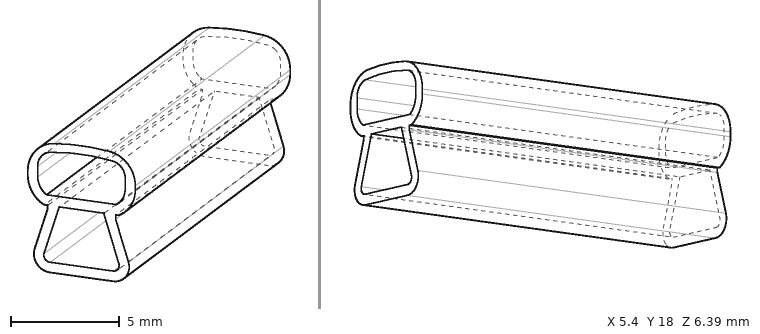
import cadquery as cq
import math

length = 18.0
width = 5.4
height = 6.39
wall = 0.5

head_radius = 1.5
side_bottom_z = 4.59
side_top_z = 4.82
head_base_z = 3.25
crown_wall = 0.41
cavity_top_radius = 0.75
cavity_side_top_z = 5.11

neck_half_width = 1.71
neck_z = 3.06
foot_width = 4.79
foot_radius = 0.81
foot_inner_radius = foot_radius - wall


def tube_profile(half_width, side_low, side_high, low_radius, top_radius, base_z, apex_z):
    """Closed profile: flat base, rounded sides and a shallow crown tangent to the upper corners."""
    low_x = half_width - low_radius
    drop = side_low - base_z
    base_x = low_x + math.sqrt(low_radius**2 - drop**2)
    low_angle = math.asin(drop / low_radius) / 2
    low_mid = (low_x + low_radius * math.cos(low_angle), side_low - low_radius * math.sin(low_angle))

    top_x = half_width - top_radius
    rise = apex_z - side_high
    crown_radius = (top_x**2 + rise**2 - top_radius**2) / (2 * (rise - top_radius))
    crown_angle = math.asin(top_x / (crown_radius - top_radius))
    join_x = top_x + top_radius * math.sin(crown_angle)
    join_z = side_high + top_radius * math.cos(crown_angle)
    top_angle = (math.pi / 2 - crown_angle) / 2
    top_mid = (top_x + top_radius * math.cos(top_angle), side_high + top_radius * math.sin(top_angle))

    return (
        cq.Workplane("XZ")
        .moveTo(-base_x, base_z)
        .lineTo(base_x, base_z)
        .threePointArc(low_mid, (half_width, side_low))
        .lineTo(half_width, side_high)
        .threePointArc(top_mid, (join_x, join_z))
        .threePointArc((0, apex_z), (-join_x, join_z))
        .threePointArc((-top_mid[0], top_mid[1]), (-half_width, side_high))
        .lineTo(-half_width, side_low)
        .threePointArc((-low_mid[0], low_mid[1]), (-base_x, base_z))
        .close()
    )


def extrude_along_y(profile):
    return profile.extrude(length / 2, both=True)


def make_head():
    outer = extrude_along_y(tube_profile(
        width / 2, side_bottom_z, side_top_z, head_radius, head_radius, head_base_z, height))
    cavity = extrude_along_y(tube_profile(
        width / 2 - wall, side_bottom_z, cavity_side_top_z,
        head_radius - wall, cavity_top_radius, head_base_z + wall, height - crown_wall))
    return outer.cut(cavity)


def make_foot():
    corner_x = foot_width / 2 - foot_radius
    run = corner_x - neck_half_width
    fall = neck_z - foot_radius
    reach = math.hypot(run, fall)
    lean = math.asin(foot_radius / reach) + math.atan2(run, fall)
    slope = math.tan(lean)

    base_half_width = neck_half_width + neck_z * slope
    overlap_z = head_base_z + wall / 2
    outer = extrude_along_y(
        cq.Workplane("XZ")
        .moveTo(-base_half_width, 0)
        .lineTo(base_half_width, 0)
        .lineTo(neck_half_width, neck_z)
        .lineTo(neck_half_width, overlap_z)
        .lineTo(-neck_half_width, overlap_z)
        .lineTo(-neck_half_width, neck_z)
        .close()
    )
    outer = outer.edges("|Y and <Z").fillet(foot_radius)

    leg_width = wall / math.cos(lean)
    cavity_base = base_half_width - wall * slope - leg_width
    cavity_top = neck_half_width + (neck_z - head_base_z) * slope - leg_width
    cavity = extrude_along_y(
        cq.Workplane("XZ")
        .moveTo(-cavity_base, wall)
        .lineTo(cavity_base, wall)
        .lineTo(cavity_top, head_base_z)
        .lineTo(-cavity_top, head_base_z)
        .close()
    )
    cavity = cavity.edges("|Y and <Z").fillet(foot_inner_radius)
    return outer.cut(cavity)


result = make_head().union(make_foot())